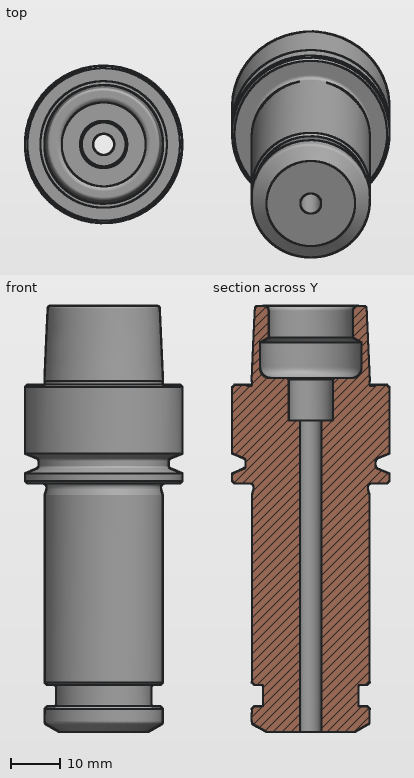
import cadquery as cq
import math

total_height = 86.5
flange_top = 70.5
flange_bottom = 50.4
shank_top = 48.0

flange_radius = 32.0 / 2
flange_chamfer = 0.5
groove_radius = 26.5 / 2
groove_upper_edge = 56.5
groove_lower_edge = 52.5
groove_rise = 1.1
groove_root_round = 0.5

taper_top_radius = 22.75 / 2
taper_base_radius = 24.1 / 2
taper_base = 71.3
taper_top_round = 0.6
relief_radius = 24.05 / 2
relief_step = 0.1
relief_fillet = 0.3
relief_depth = 0.3
relief_outer_radius = 25.7 / 2
relief_floor = flange_top - relief_depth

shank_radius = 24.05 / 2
neck_radius = 23.3 / 2
neck_fillet = 0.8
neck_land = 0.3

tail_groove_radius = 19.5 / 2
tail_groove_top = 9.5
tail_groove_bottom = 5.3
tail_groove_fillet = 0.3
tail_edge_chamfer = 0.56
tail_end_radius = 9.0
tail_slope = math.radians(30)
tail_edge_round = 0.8

bore_radius = 17.0 / 2
mouth_round = 1.0
undercut_radius = 20.5 / 2
undercut_start = 80.0
clamp_slope = math.radians(30)
cavity_floor = 71.9
cavity_corner_round = 2.0
counterbore_radius = 8.9 / 2
counterbore_depth = 8.65
counterbore_chamfer = 0.35
through_radius = 4.2 / 2


def revolve_profile(sketch):
    """Close a half profile drawn in XZ and turn it around the Z axis."""
    return sketch.close().revolve(360, (0, 0, 0), (0, 1, 0))


def make_tail_and_shank():
    tail_edge = (shank_radius - tail_end_radius) * math.tan(tail_slope)
    chamfered_radius = shank_radius - tail_edge_chamfer
    neck_low = flange_bottom - neck_fillet - neck_land
    profile = (
        cq.Workplane("XZ")
        .lineTo(tail_end_radius, 0)
        .lineTo(shank_radius, tail_edge)
        .lineTo(shank_radius, tail_groove_bottom - tail_edge_chamfer)
        .lineTo(chamfered_radius, tail_groove_bottom)
        .lineTo(tail_groove_radius + tail_groove_fillet, tail_groove_bottom)
        .radiusArc((tail_groove_radius, tail_groove_bottom + tail_groove_fillet), tail_groove_fillet)
        .lineTo(tail_groove_radius, tail_groove_top - tail_groove_fillet)
        .radiusArc((tail_groove_radius + tail_groove_fillet, tail_groove_top), tail_groove_fillet)
        .lineTo(chamfered_radius, tail_groove_top)
        .lineTo(shank_radius, tail_groove_top + tail_edge_chamfer)
        .lineTo(shank_radius, shank_top)
        .lineTo(neck_radius, neck_low)
        .lineTo(neck_radius, flange_bottom - neck_fillet)
        .radiusArc((neck_radius + neck_fillet, flange_bottom), neck_fillet)
        .lineTo(0, flange_bottom)
    )
    body = revolve_profile(profile)
    return body.edges("%CIRCLE").edges(">>Z[1]").fillet(tail_edge_round)


def make_flange():
    chamfered_radius = flange_radius - flange_chamfer
    profile = (
        cq.Workplane("XZ")
        .moveTo(0, flange_bottom)
        .lineTo(chamfered_radius, flange_bottom)
        .lineTo(flange_radius, flange_bottom + flange_chamfer)
        .lineTo(flange_radius, groove_lower_edge)
        .lineTo(groove_radius, groove_lower_edge + groove_rise)
        .lineTo(groove_radius, groove_upper_edge - groove_rise)
        .lineTo(flange_radius, groove_upper_edge)
        .lineTo(flange_radius, flange_top - flange_chamfer)
        .lineTo(chamfered_radius, flange_top)
        .lineTo(0, flange_top)
    )
    groove_root = cq.selectors.RadiusNthSelector(0)
    flange = revolve_profile(profile).edges("%CIRCLE").edges(groove_root).fillet(groove_root_round)
    relief_plane = cq.Workplane("XY").workplane(offset=relief_floor)
    relief = relief_plane.circle(relief_outer_radius).extrude(relief_depth)
    return flange.cut(relief)


def make_taper():
    profile = (
        cq.Workplane("XZ")
        .moveTo(0, relief_floor)
        .lineTo(relief_radius + relief_fillet, relief_floor)
        .radiusArc((relief_radius, relief_floor + relief_fillet), relief_fillet)
        .lineTo(relief_radius, taper_base - relief_step)
        .lineTo(taper_base_radius, taper_base)
        .lineTo(taper_top_radius, total_height)
        .lineTo(0, total_height)
    )
    return revolve_profile(profile).faces(">Z").edges().fillet(taper_top_round)


def make_cavity():
    undercut_full = undercut_start - (undercut_radius - bore_radius) * math.tan(clamp_slope)
    floor_round_start = undercut_radius - cavity_corner_round
    counterbore_floor = cavity_floor - counterbore_depth
    profile = (
        cq.Workplane("XZ")
        .lineTo(through_radius, 0)
        .lineTo(through_radius, counterbore_floor)
        .lineTo(counterbore_radius, counterbore_floor)
        .lineTo(counterbore_radius, cavity_floor - counterbore_chamfer)
        .lineTo(counterbore_radius + counterbore_chamfer, cavity_floor)
        .lineTo(floor_round_start, cavity_floor)
        .radiusArc((undercut_radius, cavity_floor + cavity_corner_round), -cavity_corner_round)
        .lineTo(undercut_radius, undercut_full)
        .lineTo(bore_radius, undercut_start)
        .lineTo(bore_radius, total_height - mouth_round)
        .radiusArc((bore_radius + mouth_round, total_height), mouth_round)
        .lineTo(0, total_height)
    )
    return revolve_profile(profile)


result = make_tail_and_shank().union(make_flange()).union(make_taper()).cut(make_cavity())